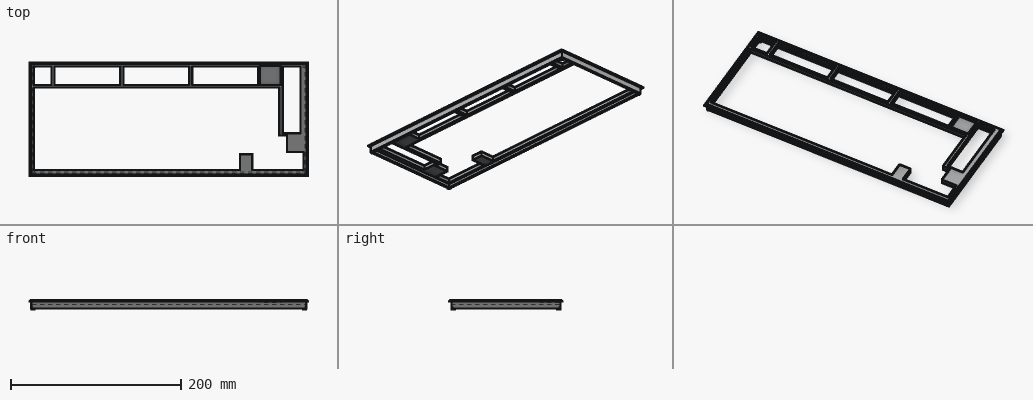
import cadquery as cq
import math

length = 328.0
width = 133.8
height = 11.0

lip_height = 2.0
bevel_width = 2.13
lip_bottom = height - lip_height

wall_inset_side = 2.0
wall_inset_back = 2.3
wall_inset_front = 3.0
wall_thickness = 2.0
wall_right = length / 2 - wall_inset_side
wall_left = -wall_right
wall_back = width / 2 - wall_inset_back
wall_front = -width / 2 + wall_inset_front

foot_diameter = 4.0
foot_height = 1.0
foot_inset = 0.3

plate_thickness = 5.5
plate_bottom = height - plate_thickness

opening_left = -158.7
opening_right = 158.5
opening_front = -59.7
opening_back = 62.0

row_front = 40.3
short_length = 20.5
long_length = 77.0
long_count = 3
row_gap = 4.0

side_left = 134.0
side_right = side_left + short_length
side_front = -16.5

row_bar = 3.3
side_bar = 4.3
side_bar_front = 3.0
corner_block_left = 139.0
corner_block_front = -38.7
tab_left = 83.5
tab_right = 98.5
tab_back = -41.0

badge_left = 107.2
badge_right = 131.0
badge_front = row_front
badge_back = 62.5
badge_depth = 3.0


def block(left, right, front, back, bottom=0.0, top=height):
    """Box given by its limits; full height unless stated otherwise."""
    box = cq.Workplane("XY").box(right - left, back - front, top - bottom, centered=False)
    return box.translate((left, front, bottom))


def make_shell():
    """Bevelled lip on a wall, hollowed out up to the underside of the top plate."""
    wall = block(wall_left, wall_right, wall_front, wall_back, foot_height, lip_bottom)
    lip = (
        cq.Workplane("XY", origin=(0, 0, lip_bottom))
        .rect(length, width)
        .extrude(lip_height, taper=math.degrees(math.atan2(bevel_width, lip_height)))
    )
    hollow = block(
        wall_left + wall_thickness,
        wall_right - wall_thickness,
        wall_front + wall_thickness,
        wall_back - wall_thickness,
        0,
        plate_bottom,
    )
    return wall.union(lip).cut(hollow)


def make_row_openings():
    """Short opening followed by the equal long openings."""
    short_right = opening_left + short_length
    openings = block(opening_left, short_right, row_front, opening_back)
    for index in range(long_count):
        left = short_right + row_gap + index * (long_length + row_gap)
        openings = openings.union(block(left, left + long_length, row_front, opening_back))
    return openings


def make_main_opening():
    """Large opening, stepped around the side bar, the corner block and the tab."""
    main_back = row_front - row_bar
    opening = block(opening_left, opening_right, opening_front, main_back)
    side_frame = block(side_left - side_bar, opening_right, side_front - side_bar_front, main_back)
    corner_block = block(corner_block_left, opening_right, corner_block_front, main_back)
    tab = block(tab_left, tab_right, opening_front, tab_back)
    return opening.cut(side_frame).cut(corner_block).cut(tab)


def make_feet():
    """Four round feet, joined to the underside of the wall."""
    radius = foot_diameter / 2
    edge_distance = foot_inset + radius
    centres = [
        (x, y)
        for x in (wall_left + edge_distance, wall_right - edge_distance)
        for y in (wall_front + edge_distance, wall_back - edge_distance)
    ]
    return cq.Workplane("XY").pushPoints(centres).circle(radius).extrude(foot_height)


side_opening = block(side_left, side_right, side_front, opening_back)
badge_recess = block(badge_left, badge_right, badge_front, badge_back, height - badge_depth)

result = (
    make_shell()
    .cut(make_row_openings())
    .cut(side_opening)
    .cut(make_main_opening())
    .cut(badge_recess)
    .union(make_feet())
)